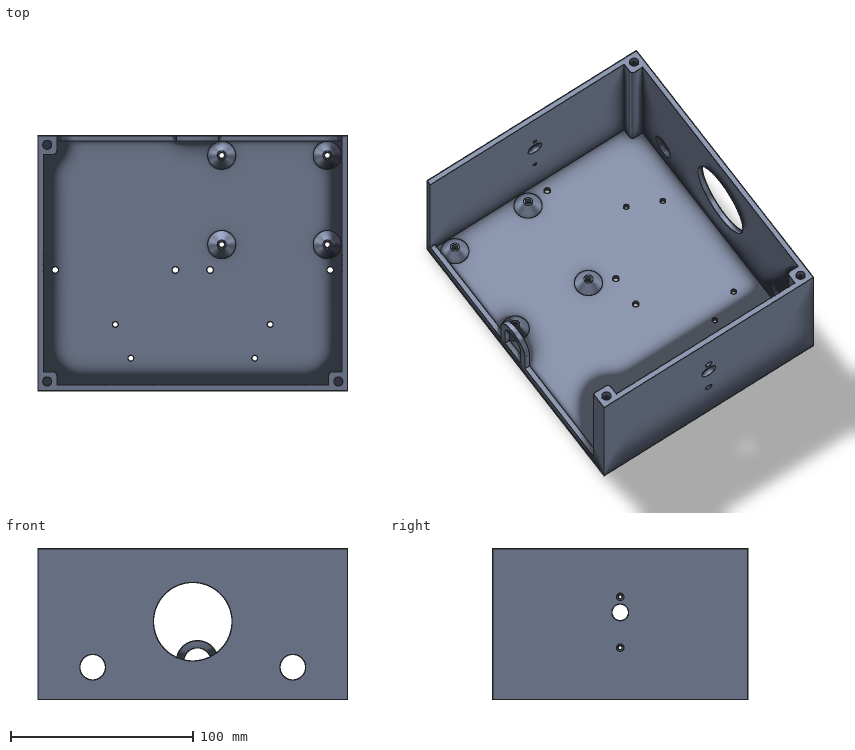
import cadquery as cq

LENGTH = 170.0
WIDTH = 140.0
HEIGHT = 83.0
WALL = 3.0
LIP_HEIGHT = 7.0

POST_SIDE = 10.4
POST_EDGE_RADIUS = 2.0
POST_HOLE_INSET = 5.1
POST_HOLE_DIAMETER = 5.0
POST_HOLE_DEPTH = 20.0

STANDOFF_BASE_DIAMETER = 15.5
STANDOFF_TOP_DIAMETER = 5.0
STANDOFF_HEIGHT = 5.0
STANDOFF_HOLE_DIAMETER = 3.0
STANDOFF_CENTER = (44.9, 34.7)
STANDOFF_SPACING_X = 58.0
STANDOFF_SPACING_Y = 49.0

FLOOR_HOLE_PAIRS = [
    (75.5, -3.7, 3.5),
    (9.5, -3.7, 3.5),
    (42.5, -33.7, 3.0),
    (34.0, -52.2, 3.0),
]

LOOP_X = 2.5
LOOP_TOP = 32.5
LOOP_OUTER_RADIUS = 11.5
LOOP_BAND = 4.0

WINDOW_DIAMETER = 43.0
WINDOW_Z = 42.8
FRONT_HOLE_DIAMETER = 14.0
FRONT_HOLE_X = 54.9
FRONT_HOLE_Z = 17.8

SHAFT_HOLE_DIAMETER = 9.0
SHAFT_HOLE_Z = 48.0
SIDE_SCREW_DIAMETER = 2.0
SIDE_SINK_DIAMETER = 4.0
SIDE_SCREW_HEIGHTS = (28.5, 56.5)

HALF_LENGTH = LENGTH / 2
HALF_WIDTH = WIDTH / 2
FLOOR_TOP = WALL


def cylinder(diameter, depth, start, direction):
    return cq.Workplane(cq.Solid.makeCylinder(diameter / 2, depth, cq.Vector(*start), cq.Vector(*direction)))


def shell():
    outer = cq.Workplane().box(LENGTH, WIDTH, HEIGHT, centered=(True, True, False))
    inner_length = LENGTH - 2 * WALL
    cavity = cq.Workplane(origin=(0, 0, FLOOR_TOP)).box(
        inner_length, WIDTH - 2 * WALL, HEIGHT, centered=(True, True, False))
    back_opening = cq.Workplane(origin=(0, HALF_WIDTH, LIP_HEIGHT)).box(
        inner_length, 2 * WALL, HEIGHT, centered=(True, True, False))
    return outer.cut(cavity).cut(back_opening)


def add_post(body, side_x, side_y):
    """Add a full-height post in the corner given by the signs of X and Y."""
    center_offset = POST_SIDE / 2
    post = (
        cq.Workplane(origin=(side_x * (HALF_LENGTH - center_offset), side_y * (HALF_WIDTH - center_offset), 0))
        .box(POST_SIDE, POST_SIDE, HEIGHT, centered=(True, True, False))
    )
    inner_edge = ("<X" if side_x > 0 else ">X", "<Y" if side_y > 0 else ">Y")
    post = post.edges("|Z").edges(inner_edge[0]).edges(inner_edge[1]).fillet(POST_EDGE_RADIUS)
    hole_x = side_x * (HALF_LENGTH - POST_HOLE_INSET)
    hole_y = side_y * (HALF_WIDTH - POST_HOLE_INSET)
    hole = cylinder(POST_HOLE_DIAMETER, POST_HOLE_DEPTH, (hole_x, hole_y, HEIGHT), (0, 0, -1))
    return body.union(post).cut(hole)


def add_standoff(body, x, y):
    cone = cq.Workplane(cq.Solid.makeCone(
        STANDOFF_BASE_DIAMETER / 2, STANDOFF_TOP_DIAMETER / 2, STANDOFF_HEIGHT, cq.Vector(x, y, FLOOR_TOP)))
    hole = cylinder(STANDOFF_HOLE_DIAMETER, FLOOR_TOP + STANDOFF_HEIGHT, (x, y, 0), (0, 0, 1))
    return body.union(cone).cut(hole)


def arch(radius, bottom):
    """Upright slab with a half-round top, as thick as the back lip."""
    spring_z = LOOP_TOP - LOOP_OUTER_RADIUS
    return (
        cq.Workplane("XZ", origin=(LOOP_X, HALF_WIDTH, 0))
        .moveTo(-radius, bottom)
        .lineTo(-radius, spring_z)
        .threePointArc((0, spring_z + radius), (radius, spring_z))
        .lineTo(radius, bottom)
        .close()
        .extrude(WALL)
    )


def cut_side_openings(body, side):
    """Cut the shaft hole and countersunk screw holes of the left (-1) or right (1) wall."""
    outer_x = side * HALF_LENGTH
    inward = (-side, 0, 0)
    body = body.cut(cylinder(SHAFT_HOLE_DIAMETER, WALL, (outer_x, 0, SHAFT_HOLE_Z), inward))
    for z in SIDE_SCREW_HEIGHTS:
        sink = cq.Workplane(cq.Solid.makeCone(
            SIDE_SINK_DIAMETER / 2, SIDE_SCREW_DIAMETER / 2, WALL, cq.Vector(outer_x, 0, z), cq.Vector(*inward)))
        body = body.cut(sink)
    return body


result = shell()

for side_x, side_y in [(-1, -1), (1, -1), (-1, 1)]:
    result = add_post(result, side_x, side_y)

for step_x in (-0.5, 0.5):
    for step_y in (-0.5, 0.5):
        standoff_x = STANDOFF_CENTER[0] + step_x * STANDOFF_SPACING_X
        standoff_y = STANDOFF_CENTER[1] + step_y * STANDOFF_SPACING_Y
        result = add_standoff(result, standoff_x, standoff_y)

result = result.union(arch(LOOP_OUTER_RADIUS, 0).cut(arch(LOOP_OUTER_RADIUS - LOOP_BAND, LIP_HEIGHT)))

for offset_x, hole_y, diameter in FLOOR_HOLE_PAIRS:
    for side in (-1, 1):
        result = result.cut(cylinder(diameter, WALL, (side * offset_x, hole_y, 0), (0, 0, 1)))

result = result.cut(cylinder(WINDOW_DIAMETER, WALL, (0, -HALF_WIDTH, WINDOW_Z), (0, 1, 0)))
for side in (-1, 1):
    front_hole_start = (side * FRONT_HOLE_X, -HALF_WIDTH, FRONT_HOLE_Z)
    result = result.cut(cylinder(FRONT_HOLE_DIAMETER, WALL, front_hole_start, (0, 1, 0)))
    result = cut_side_openings(result, side)